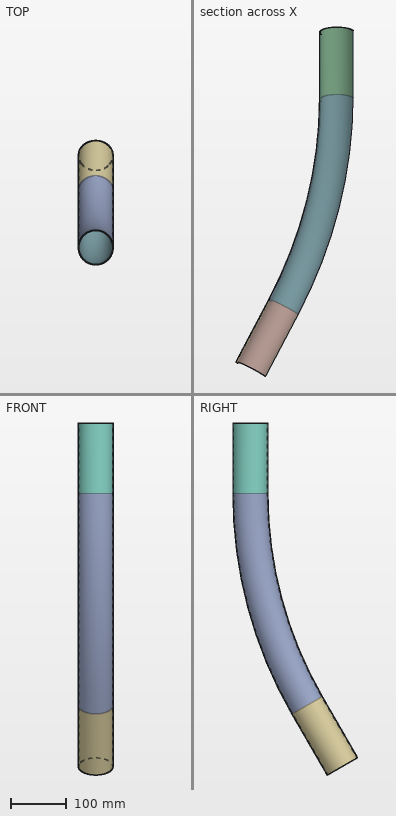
import cadquery as cq
import math

outer_diameter = 63.5
inner_diameter = 60.3
leg_length = 127.0
bend_radius = 762.0
bend_angle = 30.0


def bend_point(angle):
    """Centreline point in (Y, Z) after turning by angle degrees from the bend start."""
    turn = math.radians(angle)
    return (
        bend_radius * (1 - math.cos(turn)),
        -leg_length - bend_radius * math.sin(turn),
    )


def make_centreline():
    """Path in the YZ plane, from the upper end down and over towards +Y."""
    bend_end = bend_point(bend_angle)
    lower_end = (
        bend_end[0] + leg_length * math.sin(math.radians(bend_angle)),
        bend_end[1] - leg_length * math.cos(math.radians(bend_angle)),
    )
    return (
        cq.Workplane("YZ")
        .lineTo(*bend_point(0))
        .threePointArc(bend_point(bend_angle / 2), bend_end)
        .lineTo(*lower_end)
    )


def make_tube(centreline):
    """Ring section at the upper end, swept along the centreline."""
    ring = cq.Workplane("XY").circle(outer_diameter / 2).circle(inner_diameter / 2)
    return ring.sweep(centreline)


result = make_tube(make_centreline())